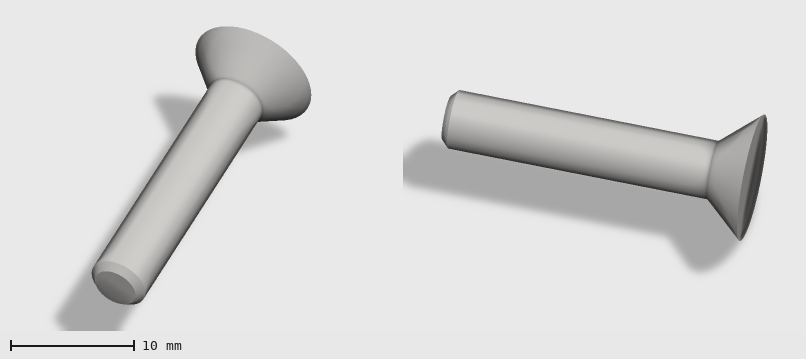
import cadquery as cq
import math

length = 25.4
head_diameter = 10.45
shank_diameter = 4.83
head_angle = 82.0
tip_chamfer = 0.58

head_radius = head_diameter / 2
shank_radius = shank_diameter / 2
head_height = (head_radius - shank_radius) / math.tan(math.radians(head_angle / 2))

half_section = (
    cq.Workplane("XY")
    .moveTo(0, 0)
    .lineTo(head_radius, 0)
    .lineTo(shank_radius, -head_height)
    .lineTo(shank_radius, -length + tip_chamfer)
    .lineTo(shank_radius - tip_chamfer, -length)
    .lineTo(0, -length)
    .close()
)

result = half_section.revolve(360, (0, 0, 0), (0, 1, 0))